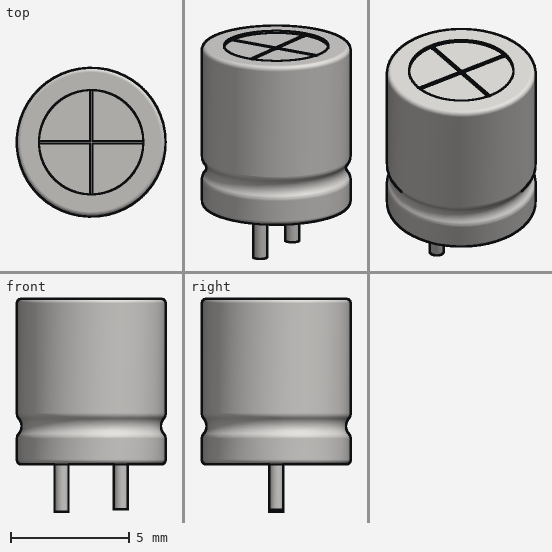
import cadquery as cq
import math

total_height = 9.0
can_diameter = 6.3
long_pin_length = 2.0
short_pin_length = 1.9
pin_diameter = 0.6
pin_spacing = 2.5
rim_radius = 0.2

crimp_height = 1.62
crimp_depth = 0.2
throat_radius = 0.5
shoulder_radius = 0.3

recess_diameter = 4.41
recess_depth = 0.1
vent_width = 0.1
vent_depth = 0.1

can_height = total_height - long_pin_length
can_radius = can_diameter / 2


def make_can():
    """Revolve the can wall, with rounded rims and the crimp."""
    blend_angle = math.acos(1 - crimp_depth / (throat_radius + shoulder_radius))
    throat_r = can_radius - crimp_depth
    blend_r = throat_r + throat_radius * (1 - math.cos(blend_angle))
    blend_dz = throat_radius * math.sin(blend_angle)
    shoulder_mid_r = can_radius - shoulder_radius * (1 - math.cos(blend_angle / 2))
    shoulder_dz = blend_dz + shoulder_radius * math.sin(blend_angle)
    shoulder_mid_dz = shoulder_dz - shoulder_radius * math.sin(blend_angle / 2)

    profile = (
        cq.Workplane("XZ")
        .lineTo(can_radius, 0)
        .lineTo(can_radius, crimp_height - shoulder_dz)
        .threePointArc(
            (shoulder_mid_r, crimp_height - shoulder_mid_dz),
            (blend_r, crimp_height - blend_dz),
        )
        .threePointArc((throat_r, crimp_height), (blend_r, crimp_height + blend_dz))
        .threePointArc(
            (shoulder_mid_r, crimp_height + shoulder_mid_dz),
            (can_radius, crimp_height + shoulder_dz),
        )
        .lineTo(can_radius, can_height)
        .lineTo(0, can_height)
        .close()
    )
    can = profile.revolve(360, (0, 0, 0), (0, 1, 0))
    return can.faces("<Z or >Z").edges().fillet(rim_radius)


def make_vent_cutter():
    """Recess disc plus the crossed grooves, which end at the recess wall."""
    floor = cq.Workplane("XY").workplane(offset=can_height - recess_depth)
    recess = floor.circle(recess_diameter / 2).extrude(recess_depth)
    cross = floor.rect(recess_diameter, vent_width).extrude(-vent_depth)
    cross = cross.union(floor.rect(vent_width, recess_diameter).extrude(-vent_depth))
    groove_limit = floor.circle(recess_diameter / 2).extrude(-vent_depth)
    return recess.union(cross.intersect(groove_limit))


def make_pin(x, length):
    return cq.Workplane("XY").center(x, 0).circle(pin_diameter / 2).extrude(-length)


result = make_can().cut(make_vent_cutter())
for pin_x, pin_length in (
    (-pin_spacing / 2, long_pin_length),
    (pin_spacing / 2, short_pin_length),
):
    result = result.union(make_pin(pin_x, pin_length))